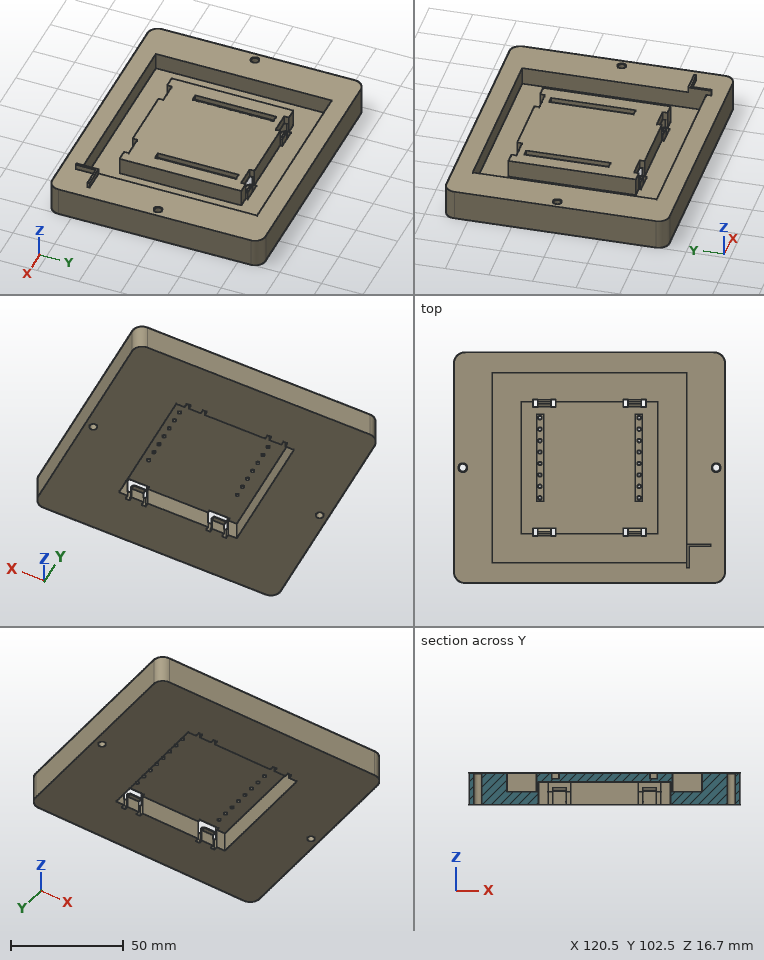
import cadquery as cq

frame_length = 120.5
frame_width = 102.5
frame_height = 14.2
corner_radius = 5.0

trough_length = 86.5
trough_width = 84.5
trough_depth = 8.3
trough_gap = 13.0
trough_floor = frame_height - trough_depth

block_length = trough_length - 2 * trough_gap
block_width = trough_width - 2 * trough_gap
block_wall = 1.0
block_roof = 4.0
hollow_height = frame_height - block_roof

fixing_diameter = 3.4
fixing_chamfer = 0.3
fixing_offset = 56.25

slot_offset = 21.8
slot_center_y = 4.4
slot_width = 3.2
slot_depth = 2.5
pin_offset = 22.0
pin_count = 8
pin_pitch = 5.08
pin_diameter = 1.5
slot_length = (pin_count - 1) * pin_pitch + slot_width

window_offset = 20.0
window_length = 10.0
window_outset = 1.0
window_inset = 2.25
window_outer_y = block_width / 2 + window_outset
window_inner_y = block_width / 2 - window_inset

clip_length = 6.0
clip_thickness = 0.9
clip_foot_height = 1.5
clip_rise = 1.8
clip_top = trough_floor + clip_rise
hook_reach = 2.0
hook_drop = 1.2
hook_tip_height = 0.4

marker_arm = 10.6
marker_thickness = 1.0
marker_height = 2.5
marker_top_y = -33.9


def box(length, width, height, x, y, z):
    """Box centred on x and y, with its underside at z."""
    return cq.Workplane("XY").box(length, width, height, centered=(True, True, False)).translate((x, y, z))


def make_frame():
    frame = box(frame_length, frame_width, frame_height, 0, 0, 0).edges("|Z").fillet(corner_radius)
    trough = box(trough_length, trough_width, trough_depth, 0, 0, trough_floor)
    block = box(block_length, block_width, trough_depth, 0, 0, trough_floor)
    hollow = box(block_length - 2 * block_wall, block_width - 2 * block_wall, hollow_height, 0, 0, 0)
    return frame.cut(trough.cut(block)).cut(hollow)


def make_fixing_hole(x):
    """Through hole with a chamfered mouth."""
    radius = fixing_diameter / 2
    profile = [
        (0, 0),
        (radius, 0),
        (radius, frame_height - fixing_chamfer),
        (radius + fixing_chamfer, frame_height),
        (0, frame_height),
    ]
    hole = cq.Workplane("XZ").polyline(profile).close().revolve(360, (0, 0), (0, 1))
    return hole.translate((x, 0, 0))


def make_pin_slot(side):
    slot = box(slot_width, slot_length, slot_depth, side * slot_offset, slot_center_y, frame_height - slot_depth)
    pins = (
        cq.Workplane("XY")
        .center(side * pin_offset, slot_center_y)
        .rarray(1, pin_pitch, 1, pin_count)
        .circle(pin_diameter / 2)
        .extrude(frame_height)
    )
    return slot.union(pins)


def make_window(x):
    """Window through the +Y edge of the block and the trough floor beside it."""
    width = window_outer_y - window_inner_y
    return box(window_length, width, frame_height, x, (window_outer_y + window_inner_y) / 2, 0)


def make_clip(x):
    """Snap clip of the +Y edge: a foot tied to the floor, an upright arm and an inward hook."""
    arm_outer_y = block_width / 2
    arm_inner_y = arm_outer_y - clip_thickness
    tip_y = arm_inner_y - hook_reach
    tip_top = clip_top - hook_drop
    tip_bottom = tip_top - hook_tip_height
    profile = [
        (window_outer_y, 0),
        (window_outer_y, clip_foot_height),
        (arm_outer_y, clip_foot_height),
        (arm_outer_y, clip_top),
        (arm_inner_y, clip_top),
        (tip_y, tip_top),
        (tip_y, tip_bottom),
        (arm_inner_y, tip_bottom),
        (arm_inner_y, 0),
    ]
    clip = cq.Workplane("YZ").polyline(profile).close().extrude(clip_length / 2, both=True)
    return clip.translate((x, 0, 0))


def make_marker():
    left_x = trough_length / 2
    inner_x = left_x + marker_thickness
    inner_y = marker_top_y - marker_thickness
    outline = [
        (left_x, marker_top_y),
        (left_x + marker_arm, marker_top_y),
        (left_x + marker_arm, inner_y),
        (inner_x, inner_y),
        (inner_x, marker_top_y - marker_arm),
        (left_x, marker_top_y - marker_arm),
    ]
    return cq.Workplane("XY", origin=(0, 0, frame_height)).polyline(outline).close().extrude(marker_height)


result = make_frame()
for side in (-1, 1):
    result = result.cut(make_fixing_hole(side * fixing_offset))
    result = result.cut(make_pin_slot(side))

for side in (-1, 1):
    window = make_window(side * window_offset)
    clip = make_clip(side * window_offset)
    result = result.cut(window).cut(window.mirror("XZ"))
    result = result.union(clip).union(clip.mirror("XZ"))

result = result.union(make_marker())